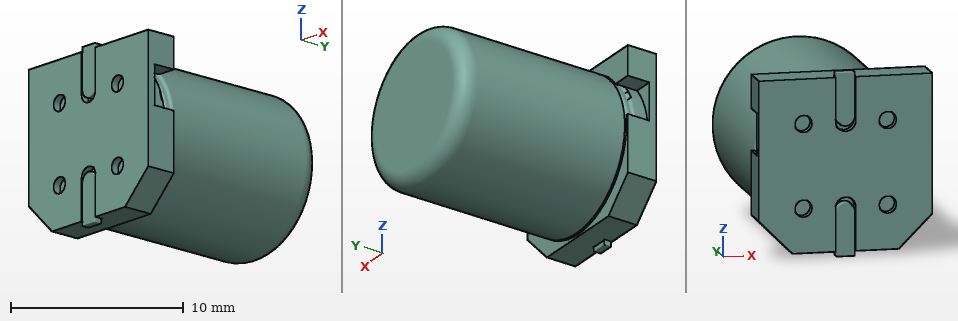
import cadquery as cq

base_width = 10.3
base_thickness = 2.0
corner_chamfer = 2.0

can_radius = 5.0
can_bottom = 0.5
can_top = 13.5
can_top_fillet = 1.0

groove_center = 1.775
groove_flat = 0.1
groove_depth = 0.5
groove_arc_radius = 0.2

window_height = 2.5
window_center_z = 1.9
window_depth = 1.5

hole_diameter = 1.0
hole_spacing = 5.0
hole_depth = 0.5

pin_width = 1.1
pin_thickness = 0.5
pin_inner_z = 2.25
pin_overhang = 0.3
pin_edge_fillet = 0.05
slot_clearance = 0.05
slot_inner_z = 1.95

half_width = base_width / 2
pin_outer_z = half_width + pin_overhang
slot_width = pin_width + 2 * slot_clearance


def block_from_face(x_size, z_size, x_center, z_center, y_start, y_end):
    """Box spanning y_start to y_end, centred in X and Z."""
    return (
        cq.Workplane("XY")
        .box(x_size, y_end - y_start, z_size)
        .translate((x_center, (y_start + y_end) / 2, z_center))
    )


def round_ended_bar(width, inner_z, outer_z, depth):
    """Bar on the mounting face along +Z with a semicircular inner end."""
    radius = width / 2
    arc_center_z = inner_z + radius
    return (
        cq.Workplane("XZ")
        .moveTo(-radius, outer_z)
        .lineTo(-radius, arc_center_z)
        .threePointArc((0, inner_z), (radius, arc_center_z))
        .lineTo(radius, outer_z)
        .close()
        .extrude(-depth)
    )


def make_base():
    """Plate with a round recess for the can and a window in each side."""
    base = block_from_face(base_width, base_width, 0, 0, 0, base_thickness)
    base = base.edges("|Y and <Z").chamfer(corner_chamfer)
    for side in (-1, 1):
        window = block_from_face(
            window_depth,
            window_height,
            side * (half_width - window_depth / 2),
            window_center_z,
            can_bottom,
            base_thickness,
        )
        base = base.cut(window)
    recess = (
        cq.Workplane("XZ", origin=(0, can_bottom, 0))
        .circle(can_radius)
        .extrude(-base_thickness)
    )
    return base.cut(recess)


def make_can():
    """Half profile in X (radius) and Y (height), revolved about the Y axis."""
    r = groove_arc_radius
    half_flat = groove_flat / 2
    floor_radius = can_radius - groove_depth
    wall_inner_radius = floor_radius + r
    wall_outer_radius = can_radius - r
    lower_floor = groove_center - half_flat
    upper_floor = groove_center + half_flat
    return (
        cq.Workplane("XY")
        .moveTo(0, can_bottom)
        .lineTo(can_radius, can_bottom)
        .lineTo(can_radius, lower_floor - 2 * r)
        .radiusArc((wall_outer_radius, lower_floor - r), -r)
        .lineTo(wall_inner_radius, lower_floor - r)
        .radiusArc((floor_radius, lower_floor), r)
        .lineTo(floor_radius, upper_floor)
        .radiusArc((wall_inner_radius, upper_floor + r), r)
        .lineTo(wall_outer_radius, upper_floor + r)
        .radiusArc((can_radius, upper_floor + 2 * r), -r)
        .lineTo(can_radius, can_top - can_top_fillet)
        .radiusArc((can_radius - can_top_fillet, can_top), -can_top_fillet)
        .lineTo(0, can_top)
        .close()
        .revolve(360, (0, 0, 0), (0, 1, 0))
    )


def make_housing():
    """Base and can joined, with the crimp groove left open behind the base wall."""
    housing = make_base().union(make_can())
    holes = (
        cq.Workplane("XZ")
        .rect(hole_spacing, hole_spacing, forConstruction=True)
        .vertices()
        .circle(hole_diameter / 2)
        .extrude(-hole_depth)
    )
    housing = housing.cut(holes)
    slot = round_ended_bar(slot_width, slot_inner_z, half_width, pin_thickness)
    for angle in (0, 180):
        housing = housing.cut(slot.rotate((0, 0, 0), (0, 1, 0), angle))
    return housing


def make_pin(angle):
    """Terminal with rounded front and tip edges; turned about Y to its side."""
    pin = round_ended_bar(pin_width, pin_inner_z, pin_outer_z, pin_thickness)
    pin = pin.faces("<Y or >Z").edges().fillet(pin_edge_fillet)
    return pin.rotate((0, 0, 0), (0, 1, 0), angle)


housing = make_housing()
pins = [make_pin(angle) for angle in (0, 180)]

result = cq.Compound.makeCompound([housing.val(), *[pin.val() for pin in pins]])